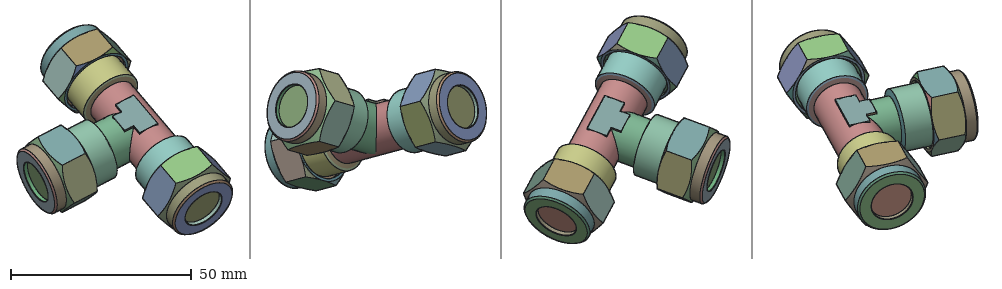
import cadquery as cq
import math

leg_length = 33.5
tube_radius = 7.05

run_collar_start = 13.0
run_bevel_radius = 8.4
run_bevel_length = 0.35
run_shoulder_length = 0.35
branch_collar_start = 12.4
branch_shoulder_length = 0.5
collar_radius = 9.0

nut_start = 20.2
nut_end = 29.95
nut_across_flats = 21.0
nut_inner_face_radius = 10.5
nut_outer_face_radius = 10.0
nut_chamfer_angle = 30.0
nut_clearance_radius = 9.7
nut_clearance_depth = 1.0

end_ring_radius = 10.0
end_ring_chamfer = 0.55
socket_radius = 6.0
socket_depth = 1.3
socket_mouth_chamfer = 0.15

pad_size = 6.0
pad_bar_length = 2 * pad_size
pad_top = tube_radius

nut_corner_radius = nut_across_flats / 2 / math.cos(math.radians(30))


def cylinder(radius, start, end):
    """Round section along a leg that is built upright on +Z."""
    return cq.Workplane("XY").workplane(offset=start).circle(radius).extrude(end - start)


def make_nut():
    """Hexagon with its corners turned off by a cone at both ends and a clearance bore."""
    slope = math.tan(math.radians(nut_chamfer_angle))
    inner_rise = (nut_corner_radius - nut_inner_face_radius) * slope
    outer_rise = (nut_corner_radius - nut_outer_face_radius) * slope
    hexagon = (
        cq.Workplane("XY")
        .workplane(offset=nut_start)
        .polygon(6, 2 * nut_corner_radius)
        .extrude(nut_end - nut_start)
    )
    turned_blank = (
        cq.Workplane("XZ")
        .moveTo(0, nut_start)
        .lineTo(nut_inner_face_radius, nut_start)
        .lineTo(nut_corner_radius, nut_start + inner_rise)
        .lineTo(nut_corner_radius, nut_end - outer_rise)
        .lineTo(nut_outer_face_radius, nut_end)
        .lineTo(0, nut_end)
        .close()
        .revolve(360, (0, 0, 0), (0, 1, 0))
    )
    clearance = cylinder(nut_clearance_radius, nut_start, nut_start + nut_clearance_depth)
    return hexagon.intersect(turned_blank).cut(clearance)


def make_collar(shoulder):
    """Collar whose inner end follows the (radius, distance) points from the tube outward."""
    tube_distance = shoulder[0][1]
    return (
        cq.Workplane("XZ")
        .polyline([(0, tube_distance), *shoulder, (collar_radius, nut_end), (0, nut_end)])
        .close()
        .revolve(360, (0, 0, 0), (0, 1, 0))
    )


def make_leg(shoulder):
    """One leg on -Y, with two hexagon corners in the XY plane."""
    tube = cylinder(tube_radius, 0, nut_end)
    end_ring = cylinder(end_ring_radius, nut_end, leg_length).faces(">Z").chamfer(end_ring_chamfer)
    socket = cylinder(socket_radius, leg_length - socket_depth, leg_length)
    end_ring = end_ring.cut(socket)
    socket_mouth = end_ring.faces(">Z").edges(cq.selectors.RadiusNthSelector(0))
    end_ring = socket_mouth.chamfer(socket_mouth_chamfer)
    leg = tube.union(make_collar(shoulder)).union(make_nut()).union(end_ring)
    return leg.rotate((0, 0, 0), (1, 0, 0), 90)


def make_pad():
    """T-shaped flat on top of the junction."""
    bar = cq.Workplane("XY").rect(pad_bar_length, pad_size).extrude(pad_top)
    stem = cq.Workplane("XY").center(0, -pad_size / 2).rect(pad_size, pad_size).extrude(pad_top)
    return bar.union(stem)


branch_shoulder = [
    (tube_radius, branch_collar_start - branch_shoulder_length),
    (collar_radius, branch_collar_start),
]
run_bevel_start = run_collar_start - run_bevel_length
run_shoulder = [
    (tube_radius, run_bevel_start - run_shoulder_length),
    (run_bevel_radius, run_bevel_start),
    (collar_radius, run_collar_start),
]

result = make_pad().union(make_leg(branch_shoulder))
run_leg = make_leg(run_shoulder)
for turn in (-90, 90):
    result = result.union(run_leg.rotate((0, 0, 0), (0, 0, 1), turn))